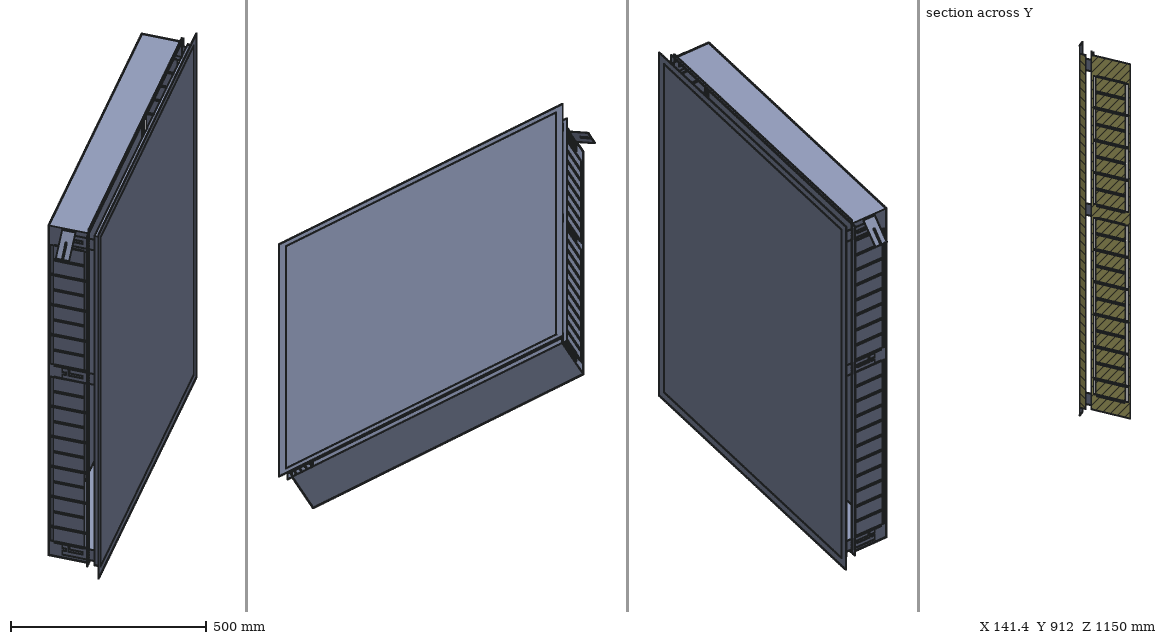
import cadquery as cq

SHEET = 1.5
BACK_X = -70.7
FRONT_X = 70.7

SIDE_Y = 400.0
HOUSING_TOP = 555.0
HOUSING_BOTTOM = -547.0
HOUSING_FRONT_X = 38.0
TOP_FLANGE_HEIGHT = 12.0
SIDE_FLANGE_WIDTH = 13.2

PLATE_BACK_X = -58.1
PLATE_FRONT_X = 25.0
PLATE_HEIGHT = 45.4
PLATE_GAP = 4.8
PLATE_PITCH = PLATE_HEIGHT + PLATE_GAP
WINDOW_BACK_X = -64.0
WINDOW_FRONT_X = 30.5
WINDOW_TOP_GAP = 2.0
BRIDGE_OVERLAP = 3.0
BRIDGE_SPACING = 2
UPPER_PLATES_TOP = 491.0
UPPER_PLATE_COUNT = 8
LOWER_PLATES_TOP = 51.0
LOWER_PLATE_COUNT = 11

HOLE_COUNT = 34
HOLE_PITCH = 21.0
HOLE_ROW_CENTER_Y = 3.9
HOLE_ROWS = [(537.0, 5.0), (511.0, 2.0), (447.0, 2.0)]

ANCHOR_BACK_X = -33.0
ANCHOR_FRONT_X = 2.0
ANCHOR_TIP_Y = 456.0
ANCHOR_ROOT_Z = 552.0
ANCHOR_TIP_Z = 499.0
SLIT_BACK_X = -17.0
SLIT_WIDTH = 3.0
SLIT_START_Y = 423.0

COVER_HALF_Y = 420.0
COVER_HALF_Z = 575.0
RIM_BACK_X = 53.0
RIM_HALF_Z = 551.0

BRACKET_THICKNESS = SHEET
BRACKET_HEIGHT = 36.0
BRACKET_LAP = 1.0
BRACKET_CENTERS_Z = [521.0, 71.0, -518.0]
BRACKET_SLOT_FRONT_X = 22.0
BRACKET_SLOT_HEIGHT = 8.0
BRACKET_NOTCH_DEPTH = 10.0


def block(x_range, y_range, z_range):
    """Axis-aligned block between pairs of limits."""
    sizes = [high - low for low, high in (x_range, y_range, z_range)]
    corner = (x_range[0], y_range[0], z_range[0])
    return cq.Workplane("XY").box(*sizes, centered=False).translate(corner)


def both_sides(shape):
    """The +Y shape together with its mirror image at -Y."""
    return shape.union(shape.mirror("XZ"))


SIDE_WALL_Y = (SIDE_Y - SHEET, SIDE_Y)


def tray():
    outer = block((BACK_X, HOUSING_FRONT_X), (-SIDE_Y, SIDE_Y), (HOUSING_BOTTOM, HOUSING_TOP))
    inner = block(
        (BACK_X + SHEET, HOUSING_FRONT_X),
        (-SIDE_Y + SHEET, SIDE_Y - SHEET),
        (HOUSING_BOTTOM + SHEET, HOUSING_TOP - SHEET),
    )
    return outer.cut(inner)


def housing_flanges():
    """Outward flanges along the top and both sides of the opening."""
    flange_x = (HOUSING_FRONT_X - SHEET, HOUSING_FRONT_X)
    top = block(
        flange_x,
        (-SIDE_Y, SIDE_Y),
        (HOUSING_TOP - SHEET, HOUSING_TOP + TOP_FLANGE_HEIGHT),
    )
    side = block(
        flange_x,
        (SIDE_Y - SHEET, SIDE_Y + SIDE_FLANGE_WIDTH),
        (HOUSING_BOTTOM, HOUSING_TOP),
    )
    return top.union(both_sides(side))


def plates_bottom(plates_top, count):
    return plates_top - count * PLATE_PITCH + PLATE_GAP


def window(plates_top, count):
    return block(
        (WINDOW_BACK_X, WINDOW_FRONT_X),
        SIDE_WALL_Y,
        (plates_bottom(plates_top, count) - PLATE_GAP, plates_top + WINDOW_TOP_GAP),
    )


def knockouts(plates_top, count):
    """Column of plates with a pair of bridges at every second gap and at both ends."""
    column = cq.Workplane("XY")
    for index in range(count):
        top = plates_top - index * PLATE_PITCH
        plate = block((PLATE_BACK_X, PLATE_FRONT_X), SIDE_WALL_Y, (top - PLATE_HEIGHT, top))
        column = column.add(plate)
    bridged_gaps = sorted({*range(0, count, BRIDGE_SPACING), count})
    for gap in bridged_gaps:
        gap_bottom = plates_top - gap * PLATE_PITCH
        gap_height = PLATE_GAP if gap > 0 else WINDOW_TOP_GAP
        gap_z = (gap_bottom, gap_bottom + gap_height)
        column = column.add(block((WINDOW_BACK_X, PLATE_BACK_X + BRIDGE_OVERLAP), SIDE_WALL_Y, gap_z))
        column = column.add(block((PLATE_FRONT_X - BRIDGE_OVERLAP, WINDOW_FRONT_X), SIDE_WALL_Y, gap_z))
    return column


def back_holes():
    holes = cq.Workplane("XY")
    for height, diameter in HOLE_ROWS:
        row = (
            cq.Workplane("YZ", origin=(BACK_X, HOLE_ROW_CENTER_Y, height))
            .rarray(HOLE_PITCH, 12, HOLE_COUNT, 1)
            .circle(diameter / 2)
            .extrude(SHEET)
        )
        holes = holes.add(row)
    return holes


def anchor():
    """Sloping strip with a slit open at its tip."""
    root_y = SIDE_Y - SHEET
    strip = (
        cq.Workplane("YZ", origin=(ANCHOR_BACK_X, 0, 0))
        .polyline([
            (root_y, ANCHOR_ROOT_Z),
            (SIDE_Y, ANCHOR_ROOT_Z),
            (ANCHOR_TIP_Y, ANCHOR_TIP_Z),
            (ANCHOR_TIP_Y - SHEET, ANCHOR_TIP_Z - SHEET),
            (SIDE_Y, ANCHOR_ROOT_Z - 2 * SHEET),
            (root_y, ANCHOR_ROOT_Z - 2 * SHEET),
        ])
        .close()
        .extrude(ANCHOR_FRONT_X - ANCHOR_BACK_X)
    )
    slit = block(
        (SLIT_BACK_X, SLIT_BACK_X + SLIT_WIDTH),
        (SLIT_START_Y, ANCHOR_TIP_Y),
        (ANCHOR_TIP_Z - SHEET, ANCHOR_ROOT_Z),
    )
    return strip.cut(slit)


def bracket_envelope(center_z):
    return block(
        (ANCHOR_BACK_X, RIM_BACK_X + BRACKET_LAP),
        (SIDE_Y, SIDE_Y + BRACKET_THICKNESS),
        (center_z - BRACKET_HEIGHT / 2, center_z + BRACKET_HEIGHT / 2),
    )


def bracket(center_z):
    """Arm with an end notch, a long slot and a slit from the slot up to the top edge."""
    thickness_y = (SIDE_Y, SIDE_Y + BRACKET_THICKNESS)
    slot_z = (center_z - BRACKET_SLOT_HEIGHT / 2, center_z + BRACKET_SLOT_HEIGHT / 2)
    notch = block((ANCHOR_BACK_X, ANCHOR_BACK_X + BRACKET_NOTCH_DEPTH), thickness_y, slot_z)
    slot = block((SLIT_BACK_X, BRACKET_SLOT_FRONT_X), thickness_y, slot_z)
    slit = block(
        (SLIT_BACK_X, SLIT_BACK_X + SLIT_WIDTH),
        thickness_y,
        (center_z, center_z + BRACKET_HEIGHT / 2),
    )
    return bracket_envelope(center_z).cut(notch).cut(slot).cut(slit)


def make_housing():
    body = tray().union(housing_flanges()).cut(back_holes().combine())
    plate_groups = [
        (UPPER_PLATES_TOP, UPPER_PLATE_COUNT),
        (LOWER_PLATES_TOP, LOWER_PLATE_COUNT),
    ]
    for plates_top, count in plate_groups:
        body = body.cut(both_sides(window(plates_top, count)))
        body = body.union(both_sides(knockouts(plates_top, count).combine()))
    for center_z in BRACKET_CENTERS_Z:
        body = body.cut(both_sides(bracket_envelope(center_z)))
    return body.union(both_sides(anchor()))


def make_cover():
    front_plate = block(
        (FRONT_X - SHEET, FRONT_X),
        (-COVER_HALF_Y, COVER_HALF_Y),
        (-COVER_HALF_Z, COVER_HALF_Z),
    )
    rim_x = (RIM_BACK_X, FRONT_X - SHEET)
    rim_outer = block(rim_x, (-SIDE_Y, SIDE_Y), (-RIM_HALF_Z, RIM_HALF_Z))
    rim_inner = block(
        rim_x,
        (-SIDE_Y + SHEET, SIDE_Y - SHEET),
        (-RIM_HALF_Z + SHEET, RIM_HALF_Z - SHEET),
    )
    body = front_plate.union(rim_outer.cut(rim_inner))
    for center_z in BRACKET_CENTERS_Z:
        body = body.union(both_sides(bracket(center_z)))
    return body


housing = make_housing()
cover = make_cover()
result = cq.Compound.makeCompound([housing.solids().val(), cover.solids().val()])